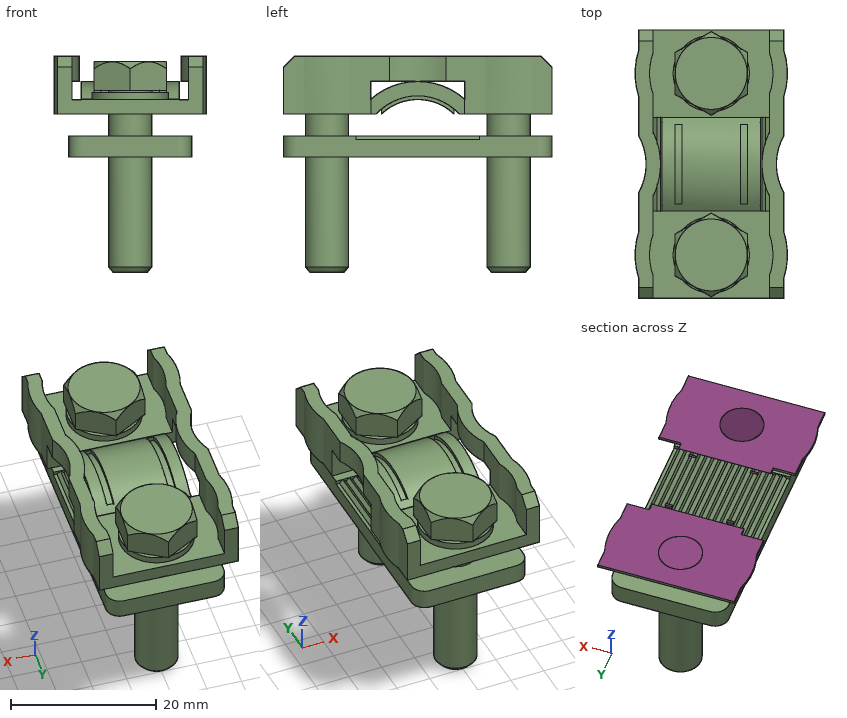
import cadquery as cq
import math


LENGTH = 37.0
CHANNEL_WIDTH = 20.0
CHANNEL_HEIGHT = 8.0
SHEET = 2.0
WALL_END_CHAMFER = 1.5
BOLT_SPACING = 25.0
BULGE_RADIUS = 10.5
WAIST_WIDTH = 18.0
WAIST_RADIUS = 8.0

WINDOW_LENGTH = 12.9
SADDLE_HEIGHT = 4.5
SADDLE_WIDTH = 13.5
SADDLE_RADIUS = 9.75
BEAD_WIDTH = 1.0
BEAD_DEPTH = 0.5
BEAD_SPACING = 9.0
BEAD_GROOVE_LENGTH = 10.95
BEAD_RIB_LENGTH = 10.0

PLATE_GAP = 3.0
PLATE_WIDTH = 17.0
PLATE_THICKNESS = 2.92
PLATE_CORNER_RADIUS = 2.0
SERRATION_LENGTH = 17.0
RIDGE_COUNT = 16

SHANK_DIAMETER = 6.0
SHANK_LENGTH = 25.05
TIP_CHAMFER_HEIGHT = 0.75
TIP_CHAMFER_WIDTH = 0.63
COLLAR_DIAMETER = 10.5
COLLAR_THICKNESS = 1.0
HEAD_GAP = 0.25
HEAD_HEIGHT = 4.0
HEAD_ACROSS_FLATS = 10.0
HEAD_FACE_DIAMETER = 9.9
HEAD_CORNER_DROP = 1.0
BOLT_TURN = 30

bolt_centres = [(0, -BOLT_SPACING / 2), (0, BOLT_SPACING / 2)]


def box(x_size, y_size, bottom, top):
    """Box centred on the Z axis."""
    height = top - bottom
    return cq.Workplane("XY", origin=(0, 0, bottom)).box(x_size, y_size, height, centered=(True, True, False))


def cylinders(centres, radius, bottom, top):
    """Upright cylinders of one size."""
    plane = cq.Workplane("XY", origin=(0, 0, bottom))
    return plane.pushPoints(centres).circle(radius).extrude(top - bottom)


def wavy_prism(inset, bottom, top):
    """Prism with the wavy outline of the channel walls, moved inwards by the inset."""
    waist_x = WAIST_WIDTH / 2 + WAIST_RADIUS
    straight = box(CHANNEL_WIDTH - 2 * inset, LENGTH, bottom, top)
    bulges = cylinders(bolt_centres, BULGE_RADIUS - inset, bottom, top)
    waists = cylinders([(-waist_x, 0), (waist_x, 0)], WAIST_RADIUS + inset, bottom, top)
    end_limits = box(2 * BULGE_RADIUS, LENGTH, bottom, top)
    return straight.union(bulges).cut(waists).intersect(end_limits)


def saddle_shell(inner_radius, outer_radius, width, length, x=0):
    """Arched strip around the saddle axis, kept above the underside of the channel."""
    axis_z = SADDLE_HEIGHT - SADDLE_RADIUS
    plane = cq.Workplane("YZ", origin=(x - width / 2, 0, axis_z))
    ring = plane.circle(outer_radius).circle(inner_radius).extrude(width)
    return ring.intersect(box(CHANNEL_WIDTH, length, 0, SADDLE_HEIGHT))


def make_saddle():
    """Arch across the window, with two pressed beads: grooves above, ribs below."""
    inner_radius = SADDLE_RADIUS - SHEET
    saddle = saddle_shell(inner_radius, SADDLE_RADIUS, SADDLE_WIDTH, WINDOW_LENGTH)
    for x in (-BEAD_SPACING / 2, BEAD_SPACING / 2):
        groove = saddle_shell(SADDLE_RADIUS - BEAD_DEPTH, SADDLE_RADIUS, BEAD_WIDTH, BEAD_GROOVE_LENGTH, x)
        rib = saddle_shell(inner_radius - BEAD_DEPTH, inner_radius, BEAD_WIDTH, BEAD_RIB_LENGTH, x)
        saddle = saddle.cut(groove).union(rib)
    return saddle


def make_channel():
    channel = wavy_prism(0, 0, CHANNEL_HEIGHT).edges("|X and >Z and (<Y or >Y)").chamfer(WALL_END_CHAMFER)
    channel = channel.cut(wavy_prism(SHEET, SHEET, CHANNEL_HEIGHT))
    channel = channel.cut(box(2 * BULGE_RADIUS, WINDOW_LENGTH, 0, SADDLE_HEIGHT))
    channel = channel.union(make_saddle())
    return channel.cut(cylinders(bolt_centres, SHANK_DIAMETER / 2, 0, SHEET))


def make_serrations():
    """Cutter for the serrated recess: V grooves along Y between sharp ridges."""
    pitch = PLATE_WIDTH / (RIDGE_COUNT + 1)
    edge = PLATE_WIDTH / 2
    first_valley = pitch / 2 - edge
    valley_z = -PLATE_GAP - pitch / 2
    profile = cq.Workplane("XZ", origin=(0, SERRATION_LENGTH / 2, 0))
    profile = profile.moveTo(-edge, -PLATE_GAP).lineTo(-edge, valley_z).lineTo(first_valley, valley_z)
    for ridge in range(RIDGE_COUNT):
        valley = first_valley + ridge * pitch
        profile = profile.lineTo(valley + pitch / 2, -PLATE_GAP)
        profile = profile.lineTo(valley + pitch, valley_z)
    profile = profile.lineTo(edge, valley_z).lineTo(edge, 0).lineTo(-edge, 0).close()
    return profile.extrude(SERRATION_LENGTH)


def make_plate():
    top = -PLATE_GAP
    bottom = top - PLATE_THICKNESS
    plate = box(PLATE_WIDTH, LENGTH, bottom, top).edges("|Z").fillet(PLATE_CORNER_RADIUS)
    plate = plate.cut(make_serrations())
    return plate.cut(cylinders(bolt_centres, SHANK_DIAMETER / 2, bottom, top))


def make_head(bottom):
    """Hexagon with a conical chamfer around its top face."""
    across_corners = HEAD_ACROSS_FLATS / math.cos(math.pi / 6)
    face_radius = HEAD_FACE_DIAMETER / 2
    cone_slope = (across_corners / 2 - face_radius) / HEAD_CORNER_DROP
    cone_base_radius = face_radius + cone_slope * HEAD_HEIGHT
    cone = cq.Solid.makeCone(cone_base_radius, face_radius, HEAD_HEIGHT, pnt=cq.Vector(0, 0, bottom))
    hexagon = cq.Workplane("XY", origin=(0, 0, bottom)).polygon(6, across_corners).extrude(HEAD_HEIGHT)
    return hexagon.intersect(cq.Workplane(cone))


def make_bolt(centre):
    """Hexagon bolt with a collar that rests on the channel floor."""
    collar_top = SHEET + COLLAR_THICKNESS
    head_bottom = collar_top + HEAD_GAP
    shank = cylinders([(0, 0)], SHANK_DIAMETER / 2, head_bottom - SHANK_LENGTH, head_bottom)
    shank = shank.faces("<Z").chamfer(TIP_CHAMFER_HEIGHT, TIP_CHAMFER_WIDTH)
    collar = cylinders([(0, 0)], COLLAR_DIAMETER / 2, SHEET, collar_top)
    bolt = shank.union(collar).union(make_head(head_bottom))
    return bolt.rotate((0, 0, 0), (0, 0, 1), BOLT_TURN).translate((*centre, 0))


channel = make_channel()
plate = make_plate()
bolts = [make_bolt(centre) for centre in bolt_centres]

result = cq.Compound.makeCompound([channel.val(), plate.val(), *[bolt.val() for bolt in bolts]])